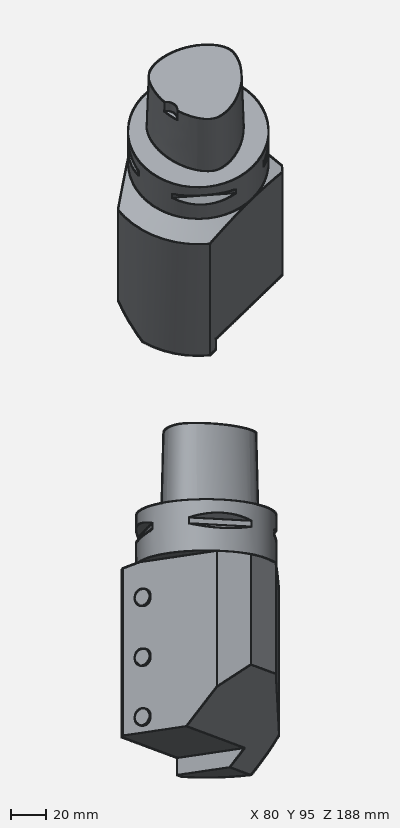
import cadquery as cq
import math

flange_diameter = 80.0
flange_height = 30.0
shank_height = 48.0
overall_height = 188.0

shank_mean_radius = 27.65
shank_eccentricity = 2.0
spline_spans = 8
shank_taper = 1 / 20
lobe_half_angle = 33.5
lobe_directions = (90.0, 210.0, 330.0)

notch_diameter = 12.0
notch_depth = 8.5
notch_inner_y = -21.8

slot_center_z = -12.1
slot_floor_distance = 35.6
slot_floor_height = 3.4
slot_wall_angle = 32.0
slot_overcut = 1.0
slot_directions = (45.0, 135.0, 225.0, 315.0)

body_half_width = flange_diameter / 2
body_back_y = 30.0
body_front_radius = 55.0
shoulder_angle = 15.0
back_left_chamfer = 14.0
back_right_chamfer = 3.0
front_flat_start_y = -10.6
front_flat_angle = 60.0
step_height = 10.0
step_y = -32.2
bevel_end_x = 4.5

head_diameter = 10.0
head_height = 1.2
head_x = 23.5
head_levels = (-51.0, -86.0, -121.0)

flange_radius = flange_diameter / 2
bottom_z = shank_height - overall_height
shoulder_drop = (body_front_radius - flange_radius) * math.tan(math.radians(shoulder_angle))


def shank_point(mean_radius, crest, normal_angle):
    """Point of the constant-width trilobe whose outward normal is normal_angle off the crest."""
    lobe_phase = math.radians(3 * normal_angle)
    reach = mean_radius + shank_eccentricity * math.cos(lobe_phase)
    slide = -3 * shank_eccentricity * math.sin(lobe_phase)
    normal = math.radians(crest + normal_angle)
    x = reach * math.cos(normal) - slide * math.sin(normal)
    y = reach * math.sin(normal) + slide * math.cos(normal)
    return cq.Vector(x, y)


def shank_edge(mean_radius, z, crest, start, end):
    step = (end - start) / spline_spans
    angles = [start + step * i for i in range(spline_spans + 1)]
    lift = cq.Vector(0, 0, z)
    points = [shank_point(mean_radius, crest, angle) + lift for angle in angles]
    tangents = []
    for angle in (start, end):
        normal = math.radians(crest + angle)
        tangents.append(cq.Vector(-math.sin(normal), math.cos(normal)))
    return cq.Edge.makeSpline(points, tangents=tangents)


def shank_wire(mean_radius, z):
    lobe_spacing = 360 / len(lobe_directions)
    edges = []
    for crest in lobe_directions:
        edges.append(shank_edge(mean_radius, z, crest, -lobe_half_angle, lobe_half_angle))
        edges.append(shank_edge(mean_radius, z, crest, lobe_half_angle, lobe_spacing - lobe_half_angle))
    return cq.Wire.assembleEdges(edges)


def make_shank():
    top_radius = shank_mean_radius - shank_height * shank_taper / 2
    wires = [shank_wire(shank_mean_radius, 0), shank_wire(top_radius, shank_height)]
    shank = cq.Workplane(cq.Solid.makeLoft(wires, True))
    notch = (
        cq.Workplane(origin=(0, notch_inner_y - notch_diameter / 2, shank_height - notch_depth))
        .circle(notch_diameter / 2)
        .extrude(notch_depth)
    )
    return shank.cut(notch)


def make_slot_cutter(direction):
    """Trapezoidal slot running square to the given radial direction."""
    outward = flange_radius + slot_overcut
    half_floor = slot_floor_height / 2
    half_mouth = half_floor + (outward - slot_floor_distance) * math.tan(math.radians(slot_wall_angle))
    profile = [
        (slot_floor_distance, slot_center_z - half_floor),
        (outward, slot_center_z - half_mouth),
        (outward, slot_center_z + half_mouth),
        (slot_floor_distance, slot_center_z + half_floor),
    ]
    cutter = cq.Workplane("XZ").polyline(profile).close().extrude(flange_radius, both=True)
    return cutter.rotate((0, 0, 0), (0, 0, 1), direction)


def make_flange():
    flange = cq.Workplane().circle(flange_radius).extrude(-flange_height)
    for direction in slot_directions:
        flange = flange.cut(make_slot_cutter(direction))
    return flange


def front_flat_end():
    """Where the slanted front flat meets the front cylinder."""
    slope = math.radians(front_flat_angle)
    run_x, run_y = math.cos(slope), -math.sin(slope)
    start_x, start_y = -body_half_width, front_flat_start_y
    along = start_x * run_x + start_y * run_y
    outside = start_x**2 + start_y**2 - body_front_radius**2
    length = -along + math.sqrt(along**2 - outside)
    return start_x + length * run_x, start_y + length * run_y


def make_body():
    front_right_y = -math.sqrt(body_front_radius**2 - body_half_width**2)
    body = (
        cq.Workplane(origin=(0, 0, bottom_z))
        .moveTo(-body_half_width, front_flat_start_y)
        .lineTo(*front_flat_end())
        .threePointArc((0, -body_front_radius), (body_half_width, front_right_y))
        .lineTo(body_half_width, body_back_y - back_right_chamfer)
        .lineTo(body_half_width - back_right_chamfer, body_back_y)
        .lineTo(-body_half_width + back_left_chamfer, body_back_y)
        .lineTo(-body_half_width, body_back_y - back_left_chamfer)
        .close()
        .extrude(-flange_height - bottom_z)
    )
    shoulder = (
        cq.Workplane("XZ")
        .moveTo(0, bottom_z)
        .lineTo(body_front_radius, bottom_z)
        .lineTo(body_front_radius, -flange_height - shoulder_drop)
        .lineTo(flange_radius, -flange_height)
        .lineTo(0, -flange_height)
        .close()
        .revolve(360, (0, 0), (0, 1))
    )
    return body.intersect(shoulder)


def make_bevel_cutter():
    bevel_leg = bevel_end_x + body_half_width
    return (
        cq.Workplane("XZ")
        .moveTo(-body_half_width, bottom_z)
        .lineTo(bevel_end_x, bottom_z)
        .lineTo(-body_half_width, bottom_z + bevel_leg)
        .close()
        .extrude(body_front_radius, both=True)
    )


def make_step_cutter():
    """Raises the underside behind the front lip."""
    return cq.Workplane().box(
        2 * body_half_width, body_back_y - step_y, step_height, centered=(True, False, False)
    ).translate((0, step_y, bottom_z))


def make_heads():
    centers = [(head_x, level) for level in head_levels]
    back_plane = cq.Plane(origin=(0, body_back_y, 0), xDir=(1, 0, 0), normal=(0, -1, 0))
    return cq.Workplane(back_plane).pushPoints(centers).circle(head_diameter / 2).extrude(-head_height)


body = make_body().cut(make_bevel_cutter()).cut(make_step_cutter())
result = body.union(make_flange()).union(make_shank()).union(make_heads())